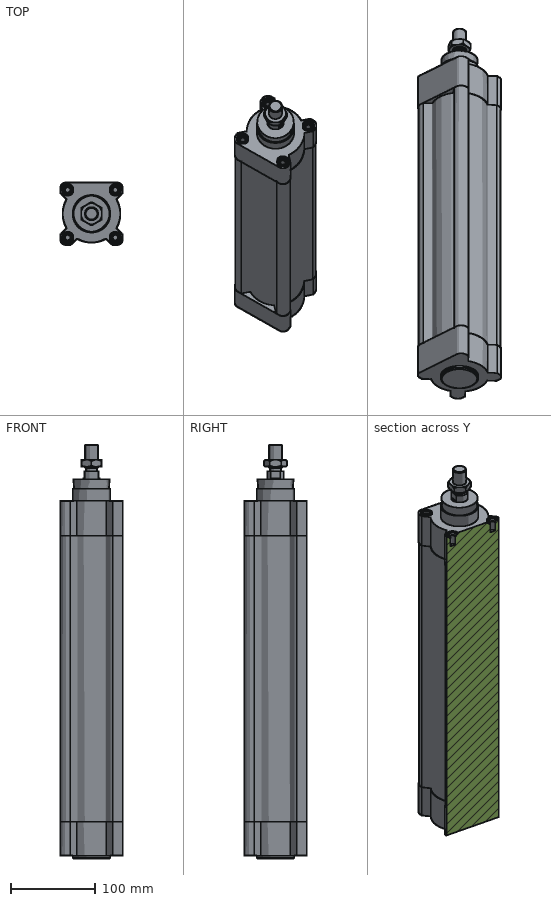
import cadquery as cq
import math

TOTAL_LENGTH = 493.0
BODY_WIDTH = 75.0
HALF_WIDTH = BODY_WIDTH / 2
REAR_CAP_BOTTOM = 4.0
TUBE_BOTTOM = 44.0
TUBE_TOP = 384.5
FRONT_CAP_TOP = 426.0
COLLAR_STEP = 441.0
COLLAR_TOP = 452.0
ROD_BOTTOM = TUBE_TOP
FLATS_BOTTOM = 453.0
SHOULDER_TOP = 461.5
THREAD_BOTTOM = 465.0
NUT_BOTTOM = 467.0
NUT_HEIGHT = 8.0

BARREL_RADIUS = 34.5
CORNER_RADIUS = 8.0
LOBE_FLAT_END = 25.0
CAP_WALL_RISE = HALF_WIDTH - LOBE_FLAT_END

TUBE_BARREL_RADIUS = 34.0
WALL_INSET = 0.25
TUBE_WALL_RISE = CAP_WALL_RISE + WALL_INSET * math.sqrt(2)
TUBE_LOBE_RADIUS = 9.5
TUBE_TIP_BEVEL = 1.5
TUBE_ROOT_RADIUS = 1.0

COLLAR_DIAMETER = 45.0
COLLAR_NECK_DIAMETER = 42.0
COLLAR_TIP_DIAMETER = 43.5
REAR_CHAMFER = 1.5

SCREW_SPACING = 56.5
SCREW_POCKET_DIAMETER = 14.0
SCREW_HEAD_DIAMETER = 12.0
SCREW_POCKET_DEPTH = 2.0
SCREW_SOCKET_DIAMETER = 9.0
SCREW_SOCKET_DEPTH = 4.0
SCREW_BORE_DIAMETER = 6.5
SCREW_BORE_DEPTH = 16.0

ROD_DIAMETER = 20.0
ROD_FLATS = 17.0
THREAD_DIAMETER = 16.0
THREAD_CHAMFER = 1.0
UNDERCUT_DIAMETER = 13.5
UNDERCUT_TAPER = (THREAD_DIAMETER - UNDERCUT_DIAMETER) / 2
NUT_FLATS = 24.0
NUT_CHAMFER = 1.5


def cylinder(diameter, bottom, top):
    return cq.Workplane("XY").workplane(offset=bottom).circle(diameter / 2).extrude(top - bottom)


def wall_foot(barrel_radius, wall_rise):
    """Point where a 45 degree notch wall, the line y - x = wall_rise, meets the barrel."""
    run = math.sqrt(2 * barrel_radius**2 - wall_rise**2)
    return (run - wall_rise) / 2, (run + wall_rise) / 2


def barrel_with_lobes(barrel_radius, lobe, bottom, top):
    """Barrel with the given corner lobe repeated at all four corners."""
    prism = cylinder(2 * barrel_radius, bottom, top)
    for quarter in range(4):
        prism = prism.union(lobe.rotate((0, 0, 0), (0, 0, 1), 90 * quarter))
    return prism


def edges_at(solid, distance):
    """Lengthwise edges of the solid at the given distance from the axis."""
    tolerance = 0.05
    return solid.edges("|Z").filter(
        lambda edge: abs(math.hypot(edge.Center().x, edge.Center().y) - distance) < tolerance
    )


def tube():
    """Tube section: round corner lobes bevelled where they meet the notch walls."""
    near, far = wall_foot(TUBE_BARREL_RADIUS, TUBE_WALL_RISE)
    lobe_center = HALF_WIDTH - TUBE_LOBE_RADIUS
    wall_distance = TUBE_WALL_RISE / math.sqrt(2)
    reach = math.sqrt(TUBE_LOBE_RADIUS**2 - wall_distance**2)
    tip_near = lobe_center + (reach - wall_distance) / math.sqrt(2)
    tip_far = lobe_center + (reach + wall_distance) / math.sqrt(2)
    corner = lobe_center + TUBE_LOBE_RADIUS / math.sqrt(2)
    lobe = (
        cq.Workplane("XY").workplane(offset=TUBE_BOTTOM)
        .lineTo(far, near).lineTo(tip_far, tip_near)
        .threePointArc((corner, corner), (tip_near, tip_far))
        .lineTo(near, far).close()
        .extrude(TUBE_TOP - TUBE_BOTTOM)
    )
    prism = barrel_with_lobes(TUBE_BARREL_RADIUS, lobe, TUBE_BOTTOM, TUBE_TOP)
    prism = edges_at(prism, math.hypot(tip_near, tip_far)).chamfer(TUBE_TIP_BEVEL)
    return edges_at(prism, TUBE_BARREL_RADIUS).fillet(TUBE_ROOT_RADIUS)


def end_cap(bottom, top):
    """Cap section: flat-sided corner lobes, with the +Y side filled flush between its two lobes."""
    near, far = wall_foot(BARREL_RADIUS, CAP_WALL_RISE)
    lobe = (
        cq.Workplane("XY").workplane(offset=bottom)
        .polyline([
            (0, 0), (far, near), (HALF_WIDTH, LOBE_FLAT_END),
            (HALF_WIDTH, HALF_WIDTH), (LOBE_FLAT_END, HALF_WIDTH), (near, far),
        ]).close()
        .extrude(top - bottom)
        .edges("|Z").edges(">(1, 1, 0)").fillet(CORNER_RADIUS)
    )
    flush_side = (
        cq.Workplane("XY").workplane(offset=bottom)
        .polyline([
            (0, 0), (near, far), (LOBE_FLAT_END, HALF_WIDTH),
            (-LOBE_FLAT_END, HALF_WIDTH), (-near, far),
        ]).close()
        .extrude(top - bottom)
    )
    return barrel_with_lobes(BARREL_RADIUS, lobe, bottom, top).union(flush_side)


def cut_screws(housing):
    """Ring groove, socket and bore of the screw in each corner of the front cap."""
    centers = (
        cq.Workplane("XY").workplane(offset=FRONT_CAP_TOP)
        .rect(SCREW_SPACING, SCREW_SPACING, forConstruction=True).vertices()
    )
    pocket_rings = centers.circle(SCREW_POCKET_DIAMETER / 2).extrude(-SCREW_POCKET_DEPTH)
    heads = centers.circle(SCREW_HEAD_DIAMETER / 2).extrude(-SCREW_POCKET_DEPTH)
    sockets = centers.circle(SCREW_SOCKET_DIAMETER / 2).extrude(-SCREW_SOCKET_DEPTH)
    bores = centers.circle(SCREW_BORE_DIAMETER / 2).extrude(-SCREW_BORE_DEPTH)
    return housing.cut(pocket_rings.cut(heads)).cut(sockets).cut(bores)


def collar_neck():
    """Upper collar, widening slightly toward its top."""
    return (
        cq.Workplane("XY").workplane(offset=COLLAR_STEP).circle(COLLAR_NECK_DIAMETER / 2)
        .workplane(offset=COLLAR_TOP - COLLAR_STEP).circle(COLLAR_TIP_DIAMETER / 2).loft()
    )


def make_housing():
    """Both end caps, the tube, the collars and the screw recesses as one solid."""
    housing = (
        end_cap(REAR_CAP_BOTTOM, TUBE_BOTTOM)
        .union(tube())
        .union(end_cap(TUBE_TOP, FRONT_CAP_TOP))
        .union(cylinder(COLLAR_DIAMETER, 0, REAR_CAP_BOTTOM).faces("<Z").chamfer(REAR_CHAMFER))
        .union(cylinder(COLLAR_DIAMETER, FRONT_CAP_TOP, COLLAR_STEP))
        .union(collar_neck())
    )
    housing = cut_screws(housing)
    return housing.cut(cylinder(ROD_DIAMETER, ROD_BOTTOM, COLLAR_TOP))


def make_rod():
    """Piston rod with wrench flats, an undercut and a threaded end."""
    flats = (
        cq.Workplane("XY").workplane(offset=FLATS_BOTTOM)
        .rect(ROD_FLATS, ROD_DIAMETER).extrude(SHOULDER_TOP - FLATS_BOTTOM)
    )
    thread = (
        cylinder(THREAD_DIAMETER, THREAD_BOTTOM, TOTAL_LENGTH)
        .faces("<Z").chamfer(UNDERCUT_TAPER)
        .faces(">Z").chamfer(THREAD_CHAMFER)
    )
    return (
        cylinder(ROD_DIAMETER, ROD_BOTTOM, FLATS_BOTTOM)
        .union(cylinder(ROD_DIAMETER, FLATS_BOTTOM, SHOULDER_TOP).intersect(flats))
        .union(cylinder(UNDERCUT_DIAMETER, SHOULDER_TOP, THREAD_BOTTOM))
        .union(thread)
    )


def make_nut():
    """Hexagon nut with rounded-off corners, corners pointing along Y."""
    corner_diameter = NUT_FLATS / math.cos(math.pi / 6)
    rounding = (
        cylinder(corner_diameter, NUT_BOTTOM, NUT_BOTTOM + NUT_HEIGHT)
        .faces("<Z or >Z").chamfer(NUT_CHAMFER)
    )
    return (
        cq.Workplane("XY").workplane(offset=NUT_BOTTOM)
        .polygon(6, NUT_FLATS, circumscribed=True).extrude(NUT_HEIGHT)
        .intersect(rounding)
        .cut(cylinder(THREAD_DIAMETER, NUT_BOTTOM, NUT_BOTTOM + NUT_HEIGHT))
    )


housing = make_housing()
rod = make_rod()
nut = make_nut()
result = cq.Compound.makeCompound([housing.val(), rod.val(), nut.val()])